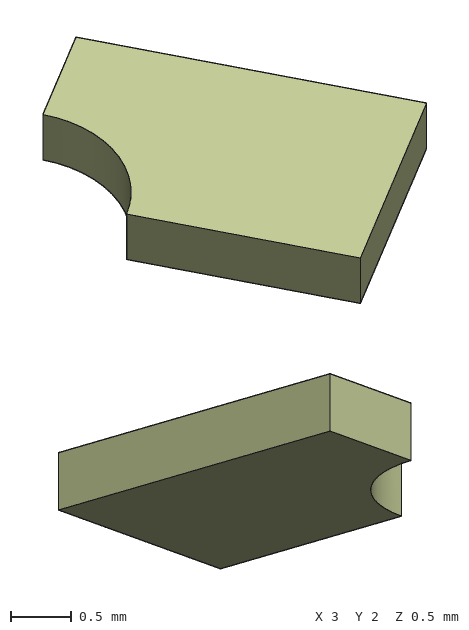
import cadquery as cq

length = 3.0
width = length * 2 / 3
thickness = length / 6
notch_radius = length / 3

plate = cq.Workplane("XY").box(length, width, thickness, centered=False)

notch = cq.Workplane("XY").circle(notch_radius).extrude(thickness)

result = plate.cut(notch)